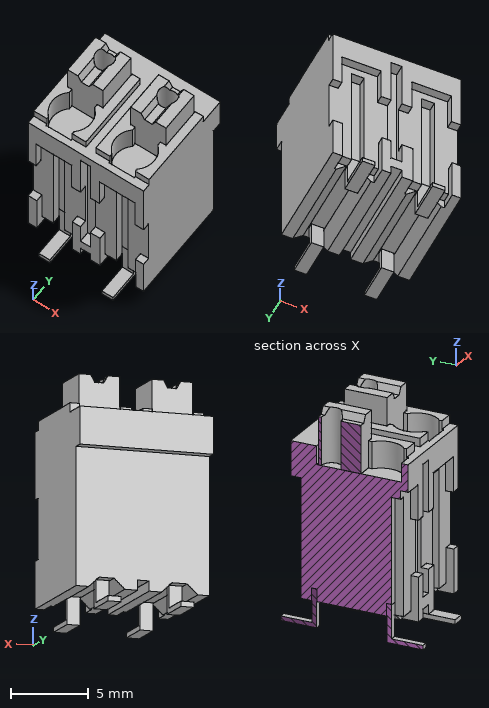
import cadquery as cq


POLES = 2
PITCH = 5.0
PIN_AXIS_X = 2.05
BUTTON_AXIS_X = 2.1

WIDTH = 9.15
HEAD_DEPTH = 8.52
BODY_DEPTH = 7.77
BASE_Z = 1.18
OVERHANG_Z = 10.35
DECK_Z = 12.86
RIDGE_HEIGHT = 0.6
RIDGE_TOP_Z = DECK_Z + RIDGE_HEIGHT
RIDGE_FRONT_Y = 0.62
RIDGE_REAR_Y = 6.62

GAP_LEFT = 4.15
GAP_WIDTH = 0.78
GAP_RIGHT = GAP_LEFT + GAP_WIDTH
GAP_SLOT_DEPTH = 0.8
GAP_SLOT_BOTTOM_Z = 2.69
GAP_SLOT_TOP_Z = 12.06

RELIEF_DEPTH = 0.56
POST_TOP_Z = 4.36
FLAP_BOTTOM_Z = 8.38
WINDOW_TOP_Z = 10.89
OPENING_WIDTH = 2.81
WINDOW_LEFT = 0.64
POST_OPENING_LEFT = 0.7

PIN_WIDTH = 0.9
PIN_THICKNESS = 0.35
PIN_TOP_Z = 2.74
FRONT_PIN_Y = 1.2
REAR_PIN_Y = 6.97
FRONT_FOOT_Y = -1.07
REAR_FOOT_Y = 9.23
PIN_SLOT_TOP_Z = 10.29

CHANNEL_TOP_Z = 1.85
CHANNEL_TOP_WIDTH = 1.0
CHANNEL_BASE_WIDTH = 2.48

ENTRY_FLOOR_Z = 11.55
ENTRY_DIAMETER = 3.04
ENTRY_Y = 1.97
ENTRY_SLOT_WIDTH = 2.0
ENTRY_SLOT_FRONT_Y = 0.5

BUTTON_WIDTH = 2.8
BUTTON_FRONT_Y = 3.4
BUTTON_REAR_Y = 6.5
BUTTON_TOP_Z = 15.46
NOTCH_DEPTH = 0.5
NOTCH_TOP_WIDTH = 1.16
NOTCH_BASE_WIDTH = 0.6
PROBE_HOLE_DIAMETER = 1.4
PROBE_HOLE_Y = 5.57


def box(x0, x1, y0, y1, z0, z1):
    """Box between two opposite corners."""
    return cq.Workplane("XY").box(x1 - x0, y1 - y0, z1 - z0, centered=False).translate((x0, y0, z0))


def centered_box(axis_x, width, y0, y1, z0, z1):
    """Box that is symmetric about a given X position."""
    return box(axis_x - width / 2, axis_x + width / 2, y0, y1, z0, z1)


def trapezoid_prism(axis_x, low_width, high_width, z0, z1, y0, y1):
    """Prism along Y with a symmetric trapezoid section."""
    section = [
        (axis_x - low_width / 2, z0),
        (axis_x + low_width / 2, z0),
        (axis_x + high_width / 2, z1),
        (axis_x - high_width / 2, z1),
    ]
    return cq.Workplane("XZ", origin=(0, y1, 0)).polyline(section).close().extrude(y1 - y0)


def front_pin(axis_x):
    """L-shaped pin whose foot points to the front."""
    leg = centered_box(axis_x, PIN_WIDTH, FRONT_PIN_Y, FRONT_PIN_Y + PIN_THICKNESS, 0, PIN_TOP_Z)
    foot = centered_box(axis_x, PIN_WIDTH, FRONT_FOOT_Y, FRONT_PIN_Y, 0, PIN_THICKNESS)
    return leg.union(foot)


def rear_pin(axis_x):
    """L-shaped pin whose foot points to the rear."""
    leg = centered_box(axis_x, PIN_WIDTH, REAR_PIN_Y - PIN_THICKNESS, REAR_PIN_Y, 0, PIN_TOP_Z)
    foot = centered_box(axis_x, PIN_WIDTH, REAR_PIN_Y, REAR_FOOT_Y, 0, PIN_THICKNESS)
    return leg.union(foot)


def button(axis_x):
    """Push button with a screwdriver notch along Y and a probe hole through it."""
    block = centered_box(
        axis_x, BUTTON_WIDTH, BUTTON_FRONT_Y, BUTTON_REAR_Y, ENTRY_FLOOR_Z, BUTTON_TOP_Z
    )
    notch = trapezoid_prism(
        axis_x, NOTCH_BASE_WIDTH, NOTCH_TOP_WIDTH,
        BUTTON_TOP_Z - NOTCH_DEPTH, BUTTON_TOP_Z, BUTTON_FRONT_Y, BUTTON_REAR_Y,
    )
    probe_hole = (
        cq.Workplane("XY", origin=(axis_x, PROBE_HOLE_Y, ENTRY_FLOOR_Z))
        .circle(PROBE_HOLE_DIAMETER / 2)
        .extrude(BUTTON_TOP_Z - ENTRY_FLOOR_Z)
    )
    return block.cut(notch).cut(probe_hole)


def housing_block():
    """Housing without its pole features: body, overhanging head and one ridge per pole."""
    body = box(0, WIDTH, 0, BODY_DEPTH, BASE_Z, DECK_Z)
    head = box(0, WIDTH, 0, HEAD_DEPTH, OVERHANG_Z, DECK_Z)
    left_ridge = box(0, GAP_LEFT, RIDGE_FRONT_Y, RIDGE_REAR_Y, DECK_Z, RIDGE_TOP_Z)
    right_ridge = box(GAP_RIGHT, WIDTH, RIDGE_FRONT_Y, RIDGE_REAR_Y, DECK_Z, RIDGE_TOP_Z)
    return body.union(head).union(left_ridge).union(right_ridge)


def cut_gap(block):
    """Blind slot in the front and a channel along the underside, both between the poles."""
    slot = box(GAP_LEFT, GAP_RIGHT, 0, GAP_SLOT_DEPTH, GAP_SLOT_BOTTOM_Z, GAP_SLOT_TOP_Z)
    channel = box(GAP_LEFT, GAP_RIGHT, 0, BODY_DEPTH, BASE_Z, CHANNEL_TOP_Z)
    return block.cut(slot).cut(channel)


def cut_front_relief(block, offset_x):
    """Openings of one pole between its flaps and between its posts."""
    window_left = WINDOW_LEFT + offset_x
    window = box(
        window_left, window_left + OPENING_WIDTH, 0, RELIEF_DEPTH, FLAP_BOTTOM_Z, WINDOW_TOP_Z
    )
    opening_left = POST_OPENING_LEFT + offset_x
    opening_right = opening_left + OPENING_WIDTH
    post_opening = box(opening_left, opening_right, 0, RELIEF_DEPTH, BASE_Z, POST_TOP_Z)
    undercut = box(opening_left, opening_right, 0, FRONT_PIN_Y, BASE_Z, CHANNEL_TOP_Z)
    return block.cut(window).cut(post_opening).cut(undercut)


def cut_pin_features(block, axis_x):
    """Slot in front of the front pin and the flared channel along the underside."""
    slot = centered_box(axis_x, PIN_WIDTH, 0, FRONT_PIN_Y, BASE_Z, PIN_SLOT_TOP_Z)
    channel = trapezoid_prism(
        axis_x, CHANNEL_BASE_WIDTH, CHANNEL_TOP_WIDTH, BASE_Z, CHANNEL_TOP_Z, 0, BODY_DEPTH
    )
    return block.cut(slot).cut(channel)


def cut_wire_entry(block, axis_x):
    """Round wire entry with a narrower slot that runs from the front wall to the button."""
    depth = RIDGE_TOP_Z - ENTRY_FLOOR_Z
    bore = (
        cq.Workplane("XY", origin=(axis_x, ENTRY_Y, ENTRY_FLOOR_Z))
        .circle(ENTRY_DIAMETER / 2)
        .extrude(depth)
    )
    front_limit = centered_box(
        axis_x, ENTRY_DIAMETER, ENTRY_SLOT_FRONT_Y, BUTTON_FRONT_Y, ENTRY_FLOOR_Z, RIDGE_TOP_Z
    )
    slot = centered_box(
        axis_x, ENTRY_SLOT_WIDTH, ENTRY_SLOT_FRONT_Y, BUTTON_FRONT_Y, ENTRY_FLOOR_Z, RIDGE_TOP_Z
    )
    return block.cut(bore.intersect(front_limit)).cut(slot)


def cut_button_pocket(block, axis_x):
    """Pocket for the button, with clearance behind it up to the rear of the ridge."""
    return block.cut(
        centered_box(axis_x, BUTTON_WIDTH, BUTTON_FRONT_Y, RIDGE_REAR_Y, ENTRY_FLOOR_Z, RIDGE_TOP_Z)
    )


pole_offsets = [PITCH * index for index in range(POLES)]

buttons = [button(BUTTON_AXIS_X + offset) for offset in pole_offsets]
front_pins = [front_pin(PIN_AXIS_X + offset) for offset in pole_offsets]
rear_pins = [rear_pin(PIN_AXIS_X + offset) for offset in pole_offsets]

housing = cut_gap(housing_block())
housing = housing.cut(box(0, WIDTH, 0, RELIEF_DEPTH, POST_TOP_Z, FLAP_BOTTOM_Z))
for offset in pole_offsets:
    housing = cut_front_relief(housing, offset)
    housing = cut_pin_features(housing, PIN_AXIS_X + offset)
    housing = cut_wire_entry(housing, PIN_AXIS_X + offset)
    housing = cut_button_pocket(housing, BUTTON_AXIS_X + offset)

for pin in front_pins + rear_pins:
    housing = housing.cut(pin)

bodies = [housing] + buttons + front_pins + rear_pins
result = cq.Compound.makeCompound([body.val() for body in bodies])